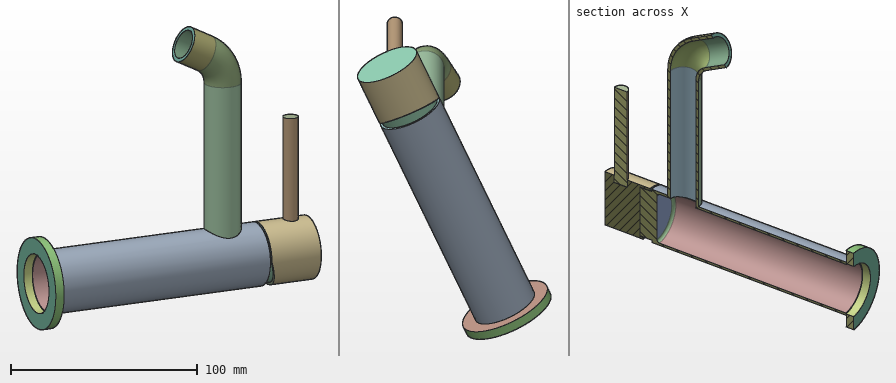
import cadquery as cq
import math

overall_length = 160.0

flange_radius = 25.0
flange_thickness = 5.0
flange_bore_radius = 16.2

body_radius = 17.5
body_end = 130.0
bore_radius = 15.7
bore_end = 126.4
bore_fillet = 1.6
neck_radius = 16.0
neck_end = 137.6

spout_y = 109.8
spout_radius = 10.1
spout_bore_radius = 8.0
bend_start_z = 98.9
bend_radius = 20.0
bend_angle = 62.0
tip_length = 14.1

handle_gap = 1.0
handle_front = body_end + handle_gap
relief_depth = 4.8

lever_y = 149.8
lever_radius = 4.2
lever_top_z = 74.5
lever_base_z = 12.8


def cylinder_y(radius, start, end):
    """Cylinder about the Y axis between two Y positions."""
    axis_start = cq.Vector(0, start, 0)
    return cq.Workplane(cq.Solid.makeCylinder(radius, end - start, axis_start, cq.Vector(0, 1, 0)))


def spout_rod(radius):
    """Solid rod following the spout axis: upright, bend, straight tip."""
    angle = math.radians(bend_angle)
    half_angle = angle / 2
    center_y = spout_y - bend_radius

    def bend_point(turn):
        return center_y + bend_radius * math.cos(turn), bend_start_z + bend_radius * math.sin(turn)

    bend_end_y, bend_end_z = bend_point(angle)
    tip = (
        bend_end_y - tip_length * math.sin(angle),
        bend_end_z + tip_length * math.cos(angle),
    )
    path = (
        cq.Workplane("YZ")
        .moveTo(spout_y, 0)
        .lineTo(spout_y, bend_start_z)
        .threePointArc(bend_point(half_angle), (bend_end_y, bend_end_z))
        .lineTo(*tip)
    )
    return cq.Workplane("XY").center(0, spout_y).circle(radius).sweep(path)


def make_flange():
    disc = cylinder_y(flange_radius, 0, flange_thickness)
    return disc.cut(cylinder_y(flange_bore_radius, 0, flange_thickness))


def make_body():
    barrel = cylinder_y(body_radius, flange_thickness, body_end)
    neck = cylinder_y(neck_radius, body_end, neck_end)
    bore = cylinder_y(bore_radius, flange_thickness, bore_end).faces(">Y").edges().fillet(bore_fillet)
    outside = barrel.union(neck).union(spout_rod(spout_radius))
    return outside.cut(bore).cut(spout_rod(spout_bore_radius))


def make_lever():
    return (
        cq.Workplane("XY", origin=(0, lever_y, lever_base_z))
        .circle(lever_radius)
        .extrude(lever_top_z - lever_base_z)
    )


def make_handle():
    relief = (
        cq.Workplane("YZ")
        .moveTo(handle_front, 0)
        .lineTo(handle_front + relief_depth, -body_radius)
        .lineTo(handle_front, -body_radius)
        .close()
        .extrude(body_radius, both=True)
    )
    neck_recess = cylinder_y(neck_radius, handle_front, neck_end)
    drum = cylinder_y(body_radius, handle_front, overall_length)
    return drum.cut(relief).cut(neck_recess).cut(make_lever())


flange = make_flange()
body = make_body()
handle = make_handle()
lever = make_lever()

bodies = [flange, body, handle, lever]
result = cq.Compound.makeCompound([part.solids().val() for part in bodies])